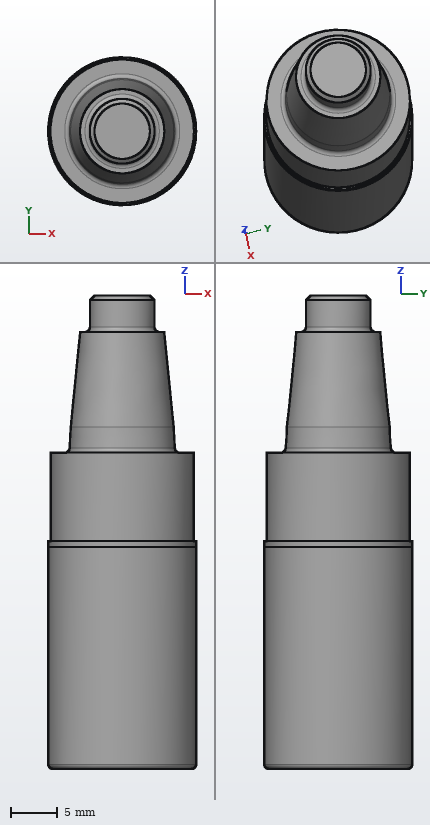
import cadquery as cq

total_height = 51.1
sleeve_height = 23.95
flange_height = 0.6
flange_top_z = sleeve_height + flange_height
shoulder_z = 34.15
neck_top_z = 36.9
taper_top_z = 47.15

sleeve_radius = 16.0 / 2
collar_radius = 15.5 / 2
knob_radius = 7.0 / 2
neck_base_radius = 5.7
neck_top_radius = 5.55
taper_top_radius = 4.55

bottom_fillet = 0.5
knob_chamfer = 0.5
root_fillet = 0.5

pick_margin = 0.05


def make_sleeve():
    """Solid lower cylinder with a rounded bottom edge."""
    return (
        cq.Workplane("XY")
        .circle(sleeve_radius)
        .extrude(sleeve_height)
        .faces("<Z")
        .edges()
        .fillet(bottom_fillet)
    )


def make_plug():
    """Stepped upper body standing on the sleeve: flange, collar, neck, taper and knob."""
    outline = (
        cq.Workplane("XZ")
        .moveTo(0, sleeve_height)
        .lineTo(sleeve_radius, sleeve_height)
        .lineTo(sleeve_radius, flange_top_z)
        .lineTo(collar_radius, flange_top_z)
        .lineTo(collar_radius, shoulder_z)
        .lineTo(neck_base_radius, shoulder_z)
        .lineTo(neck_top_radius, neck_top_z)
        .lineTo(taper_top_radius, taper_top_z)
        .lineTo(knob_radius, taper_top_z)
        .lineTo(knob_radius, total_height)
        .lineTo(0, total_height)
        .close()
    )
    plug = outline.revolve(360, (0, 0, 0), (0, 1, 0))
    for root_radius, root_z in ((neck_base_radius, shoulder_z), (knob_radius, taper_top_z)):
        pick_radius = root_radius + pick_margin
        root_edge = cq.selectors.BoxSelector(
            (-pick_radius, -pick_radius, root_z - pick_margin),
            (pick_radius, pick_radius, root_z + pick_margin),
            boundingbox=True,
        )
        plug = plug.edges(root_edge).fillet(root_fillet)
    return plug.faces(">Z").edges().chamfer(knob_chamfer)


sleeve = make_sleeve()
plug = make_plug()

result = cq.Compound.makeCompound([sleeve.val(), plug.val()])